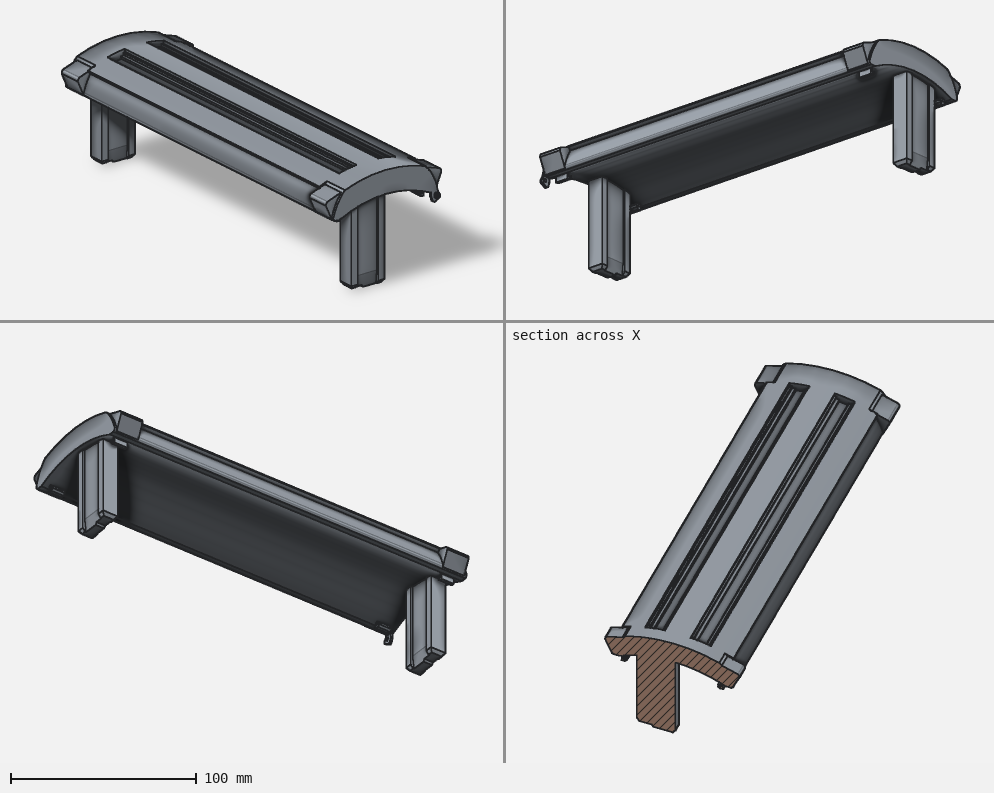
import cadquery as cq
import math

total_height = 67.1
deck_length = 235.9


top_radius = 81.0
crown_thickness = 14.1
top_half_width = 27.4
shoulder = (28.9, -6.2)
side_middle = (32.9, -12.6)
side_foot = (35.2, -18.7)
edge_middle = (35.1, -20.4)
edge_bottom = (34.2, -21.2)
underside_half_width = 30.9

lip_half_width = 32.4
lip_end_height = 0.6
lip_root = (30.8, -9.0)

tab_half_width = 39.275
tab_inset = 1.5
tab_end = 15.9
tab_top_edge = (38.1, -9.2)
tab_edge_middle = (39.075, -10.3)
tab_outer_edge = (tab_half_width, -11.4)
tab_foot = (35.2, -20.7)
tab_root = (26.0, -12.0)

slot_end_margin = 15.9
slot_offset = 13.3
slot_steps = [(11.8, 2.0), (9.3, 3.5), (5.4, 5.0)]
slot_clearance = 1.0

leg_inset = 3.2
leg_thickness = 9.8
leg_y_max = 1.9
leg_width = 22.6
flange_width = 4.3
web_recess = 1.2
foot_recess = 2.1
recess_taper_height = 8.2
toe_height = 2.1
toe_inset = 1.5
foot_step_height = 1.3
long_foot_width = 14.5
leg_top_drop = 11.0

hook_inset = 4.4
hook_length = 8.2
hook_outline = [
    (29.6, -19.0),
    (29.6, -24.0),
    (27.8, -24.0),
    (26.5, -22.9),
    (26.5, -21.5),
    (27.5, -22.5),
    (28.3, -22.2),
    (28.3, -19.0),
]

lug_thickness = 1.3
lug_boss_height = 0.45
lug_boss_radius = 1.7
lug_hole_radius = 1.0
lug_hole_center = (34.8, -23.5)
lug_outline = [
    (31.3, -19.0),
    (31.3, -23.7),
    (32.3, -26.6),
    (33.4, -27.3),
    (37.4, -25.1),
    (37.4, -23.9),
    (36.3, -22.8),
    (35.1, -19.0),
]

half_length = deck_length / 2
leg_x = leg_inset - half_length


def arc_drop(radius, distance):
    """Height lost by an arc of the given radius at a distance from its crown."""
    return radius - math.sqrt(radius ** 2 - distance ** 2)


def section(x_start):
    """YZ sketch plane facing +X, with its origin on the crown line."""
    return cq.Workplane("YZ", origin=(x_start, 0, total_height))


def mirrored(point):
    """The section point on the opposite side of the mid plane."""
    return (-point[0], point[1])


def mirror_y(shape):
    return shape.mirror("XZ")


def mirror_x(shape):
    return shape.mirror("YZ")


def make_deck():
    """Arched bar with bulging sides and rounded bottom edges."""
    top_edge = (top_half_width, -arc_drop(top_radius, top_half_width))
    under_edge = (underside_half_width, edge_bottom[1])
    return (
        section(-half_length)
        .moveTo(*mirrored(top_edge))
        .threePointArc((0, 0), top_edge)
        .lineTo(*shoulder)
        .threePointArc(side_middle, side_foot)
        .threePointArc(edge_middle, edge_bottom)
        .lineTo(*under_edge)
        .threePointArc((0, -crown_thickness), mirrored(under_edge))
        .lineTo(*mirrored(edge_bottom))
        .threePointArc(mirrored(edge_middle), mirrored(side_foot))
        .threePointArc(mirrored(side_middle), mirrored(shoulder))
        .close()
        .extrude(deck_length)
    )


def make_lips():
    """Shell following the deck top; each lip is undercut back to the deck side."""
    top_edge = (lip_half_width, -arc_drop(top_radius, lip_half_width))
    end_edge = (lip_half_width, top_edge[1] - lip_end_height)
    return (
        section(tab_end - half_length)
        .moveTo(*mirrored(top_edge))
        .threePointArc((0, 0), top_edge)
        .lineTo(*end_edge)
        .lineTo(*lip_root)
        .lineTo(*mirrored(lip_root))
        .lineTo(*mirrored(end_edge))
        .close()
        .extrude(deck_length - 2 * tab_end)
    )


def make_tab():
    """Wedge on the +Y side of the -X end, rooted inside the deck."""
    return (
        section(tab_inset - half_length)
        .moveTo(*tab_root)
        .lineTo(*shoulder)
        .lineTo(*tab_top_edge)
        .threePointArc(tab_edge_middle, tab_outer_edge)
        .lineTo(*tab_foot)
        .close()
        .extrude(tab_end - tab_inset)
    )


def make_slot():
    """Stepped slot cut square to the arched top."""
    tilt = math.degrees(math.asin(slot_offset / top_radius))
    length = deck_length - 2 * slot_end_margin
    cutter = cq.Workplane("XY")
    for width, depth in slot_steps:
        step = cq.Workplane("XY").box(length, width, depth + slot_clearance)
        cutter = cutter.union(step.translate((0, 0, top_radius + (slot_clearance - depth) / 2)))
    cutter = cutter.rotate((0, 0, 0), (1, 0, 0), -tilt)
    return cutter.translate((0, 0, total_height - top_radius))


def make_leg_block(bottom, y_min, y_max):
    """Upright bar with a tapered toe at its lower end."""
    shoulder_z = bottom + toe_height
    center = (leg_x + leg_thickness / 2, (y_min + y_max) / 2, shoulder_z)
    base = cq.Workplane("XY", origin=center)
    shaft = base.rect(leg_thickness, y_max - y_min).extrude(total_height - leg_top_drop - shoulder_z)
    toe_taper = math.degrees(math.atan2(toe_inset, toe_height))
    toe = base.rect(leg_thickness, y_max - y_min).extrude(-toe_height, taper=toe_taper)
    return shaft.union(toe)


def make_leg_recess():
    """Channel in the -X side of the leg that becomes deeper at the foot."""
    return (
        cq.Workplane("XZ", origin=(leg_x, leg_y_max - flange_width, 0))
        .polyline([
            (0, 0),
            (foot_recess, 0),
            (web_recess, recess_taper_height),
            (web_recess, total_height - crown_thickness),
            (0, total_height - crown_thickness),
        ])
        .close()
        .extrude(leg_width - 2 * flange_width)
    )


def make_leg():
    """I-section leg whose foot is stepped along Y."""
    leg_y_min = leg_y_max - leg_width
    leg = make_leg_block(0, leg_y_max - long_foot_width, leg_y_max)
    leg = leg.union(make_leg_block(foot_step_height, leg_y_min, leg_y_max))
    recess = make_leg_recess()
    middle = (leg_x + leg_thickness / 2, 0, 0)
    return leg.cut(recess).cut(recess.mirror("YZ", middle))


def make_hook():
    """J-shaped hook opening towards the mid plane."""
    return section(hook_inset - half_length).polyline(hook_outline).close().extrude(hook_length)


def make_lug():
    """Plate flush with the +X end, pierced through a low round boss."""
    lug_x = half_length - lug_thickness
    boss_length = lug_thickness + lug_boss_height
    plate = section(lug_x).polyline(lug_outline).close().extrude(lug_thickness)
    boss = section(lug_x).center(*lug_hole_center).circle(lug_boss_radius).extrude(boss_length)
    hole = section(lug_x).center(*lug_hole_center).circle(lug_hole_radius).extrude(boss_length)
    return plate.union(boss).cut(hole)


result = make_deck().union(make_lips())

tab = make_tab()
hook = make_hook()
for corner in (tab, hook):
    pair = corner.union(mirror_y(corner))
    result = result.union(pair).union(mirror_x(pair))

leg = make_leg()
result = result.union(leg).union(mirror_x(leg))

slot = make_slot()
result = result.cut(slot).cut(mirror_y(slot))

result = result.union(make_lug())